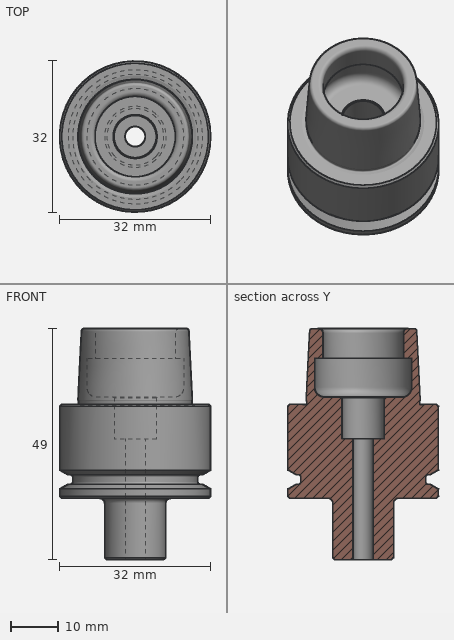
import cadquery as cq
import math

total_height = 49.0
flange_bottom = 13.0
groove_center = 17.0
shoulder_height = 33.0

pin_radius = 13.0 / 2
pin_end_chamfer = 0.5
pin_root_fillet = 1.0

body_radius = 32.0 / 2
body_chamfer = 0.5
groove_radius = 26.5 / 2
groove_mouth_width = 4.0
groove_floor_width = 1.95
groove_wall_angle = 30.0
groove_fillet = 0.5

relief_radius = 25.85 / 2
relief_depth = 0.15
relief_fillet = 0.3
neck_radius = 24.1 / 2
neck_height = 0.6
neck_step = 0.3

taper_base_radius = 24.25 / 2
taper_ratio = 0.1
taper_end_round = 0.65

mouth_radius = 17.0 / 2
mouth_round = 1.0
mouth_depth = 6.35
chamber_radius = 20.5 / 2
chamber_fillet = 1.95
chamber_depth = 14.5
counterbore_radius = 8.9 / 2
counterbore_chamfer = 0.2
counterbore_depth = 8.8
through_radius = 4.2 / 2


def revolve(profile):
    """Close an (r, z) profile drawn in the XZ plane and turn it about Z."""
    return profile.close().revolve(360, (0, 0, 0), (0, 1, 0))


def add_pin_and_flange(profile):
    """Continue the outline from the axis at Z = 0 to the foot of the flange rim."""
    return (
        profile
        .lineTo(pin_radius - pin_end_chamfer, 0)
        .lineTo(pin_radius, pin_end_chamfer)
        .lineTo(pin_radius, flange_bottom - pin_root_fillet)
        .tangentArcPoint((pin_radius + pin_root_fillet, flange_bottom), relative=False)
        .lineTo(body_radius - body_chamfer, flange_bottom)
        .lineTo(body_radius, flange_bottom + body_chamfer)
    )


def add_groove(profile):
    """Continue the outline up the flange rim and through the V-groove."""
    half_mouth = groove_mouth_width / 2
    half_floor = groove_floor_width / 2
    wall_foot = body_radius - (half_mouth - half_floor) / math.tan(math.radians(groove_wall_angle))
    floor_bottom = groove_center - half_floor
    floor_top = groove_center + half_floor
    return (
        profile
        .lineTo(body_radius, groove_center - half_mouth)
        .lineTo(wall_foot, floor_bottom)
        .lineTo(groove_radius + groove_fillet, floor_bottom)
        .tangentArcPoint((groove_radius, floor_bottom + groove_fillet), relative=False)
        .lineTo(groove_radius, floor_top - groove_fillet)
        .tangentArcPoint((groove_radius + groove_fillet, floor_top), relative=False)
        .lineTo(wall_foot, floor_top)
        .lineTo(body_radius, groove_center + half_mouth)
    )


def add_shoulder_and_taper(profile):
    """Continue the outline over the body shoulder and up the taper to the axis."""
    relief_floor = shoulder_height - relief_depth
    taper_base = shoulder_height + neck_height + neck_step
    taper_end = total_height - taper_end_round
    taper_end_radius = taper_base_radius - (taper_end - taper_base) * taper_ratio / 2
    return (
        profile
        .lineTo(body_radius, shoulder_height - body_chamfer)
        .lineTo(body_radius - body_chamfer, shoulder_height)
        .lineTo(relief_radius, shoulder_height)
        .lineTo(neck_radius + relief_fillet, relief_floor)
        .tangentArcPoint((neck_radius, relief_floor + relief_fillet), relative=False)
        .lineTo(neck_radius, shoulder_height + neck_height)
        .lineTo(taper_base_radius, taper_base)
        .lineTo(taper_end_radius, taper_end)
        .tangentArcPoint((taper_end_radius - taper_end_round, total_height), relative=False)
        .lineTo(0, total_height)
    )


def make_outside():
    profile = cq.Workplane("XZ").moveTo(0, 0)
    profile = add_pin_and_flange(profile)
    profile = add_groove(profile)
    profile = add_shoulder_and_taper(profile)
    return revolve(profile)


def make_bore():
    """Stepped bore: rounded mouth, wider chamber, counterbore and through hole."""
    mouth_bottom = total_height - mouth_depth
    chamber_floor = total_height - chamber_depth
    counterbore_floor = chamber_floor - counterbore_depth
    profile = (
        cq.Workplane("XZ")
        .moveTo(0, 0)
        .lineTo(through_radius, 0)
        .lineTo(through_radius, counterbore_floor)
        .lineTo(counterbore_radius, counterbore_floor)
        .lineTo(counterbore_radius, chamber_floor - counterbore_chamfer)
        .lineTo(counterbore_radius + counterbore_chamfer, chamber_floor)
        .lineTo(chamber_radius - chamber_fillet, chamber_floor)
        .tangentArcPoint((chamber_radius, chamber_floor + chamber_fillet), relative=False)
        .lineTo(chamber_radius, mouth_bottom)
        .lineTo(mouth_radius, mouth_bottom)
        .lineTo(mouth_radius, total_height - mouth_round)
        .tangentArcPoint((mouth_radius + mouth_round, total_height), relative=False)
        .lineTo(0, total_height)
    )
    return revolve(profile)


result = make_outside().cut(make_bore())